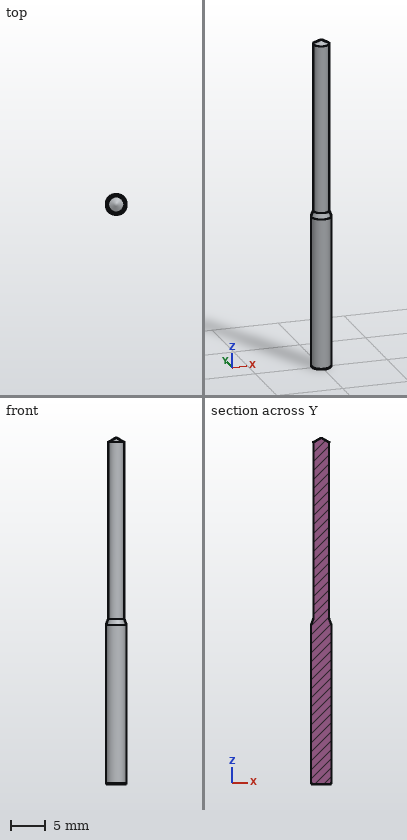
import cadquery as cq
import math

total_length = 50.0
shank_diameter = 3.0
neck_diameter = 2.35

shank_length = 23.0
shoulder_length = 0.85
bottom_chamfer = 0.2
point_angle = 120.0

shank_radius = shank_diameter / 2
neck_radius = neck_diameter / 2
point_height = neck_radius / math.tan(math.radians(point_angle / 2))

profile = (
    cq.Workplane("XZ")
    .moveTo(0, 0)
    .lineTo(shank_radius - bottom_chamfer, 0)
    .lineTo(shank_radius, bottom_chamfer)
    .lineTo(shank_radius, shank_length)
    .lineTo(neck_radius, shank_length + shoulder_length)
    .lineTo(neck_radius, total_length - point_height)
    .lineTo(0, total_length)
    .close()
)

result = profile.revolve(360, (0, 0, 0), (0, 1, 0))